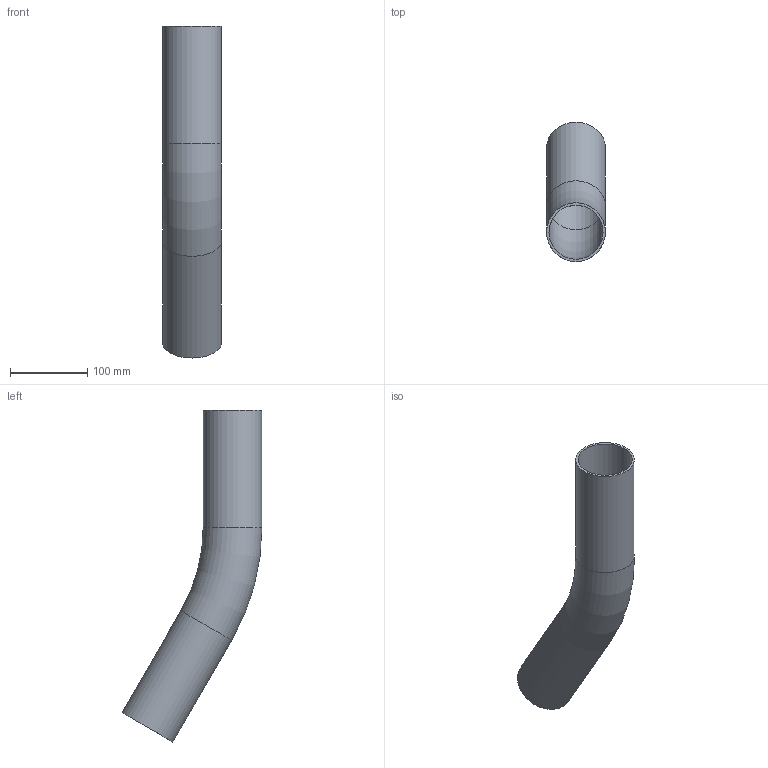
import cadquery as cq
import math

outer_diameter = 76.2
inner_diameter = 70.1

leg_length = 152.4
bend_radius = 254.0
bend_angle = 30.0


def bend_point(angle_deg):
    """Centreline point (Y, Z) after turning by angle_deg; the bend starts at the origin."""
    angle = math.radians(angle_deg)
    return (bend_radius * (1 - math.cos(angle)), -bend_radius * math.sin(angle))


def make_centreline():
    """Path in the YZ plane from the upper end of the tube to the lower end."""
    bend_end_y, bend_end_z = bend_point(bend_angle)
    slope = math.radians(bend_angle)
    lower_end = (
        bend_end_y + leg_length * math.sin(slope),
        bend_end_z - leg_length * math.cos(slope),
    )
    return (
        cq.Workplane("YZ")
        .moveTo(0, leg_length)
        .lineTo(0, 0)
        .threePointArc(bend_point(bend_angle / 2), (bend_end_y, bend_end_z))
        .lineTo(*lower_end)
    )


def make_tube():
    """Ring section swept along the centreline, open at both ends."""
    return (
        cq.Workplane("XY", origin=(0, 0, leg_length))
        .circle(outer_diameter / 2)
        .circle(inner_diameter / 2)
        .sweep(make_centreline())
    )


result = make_tube()